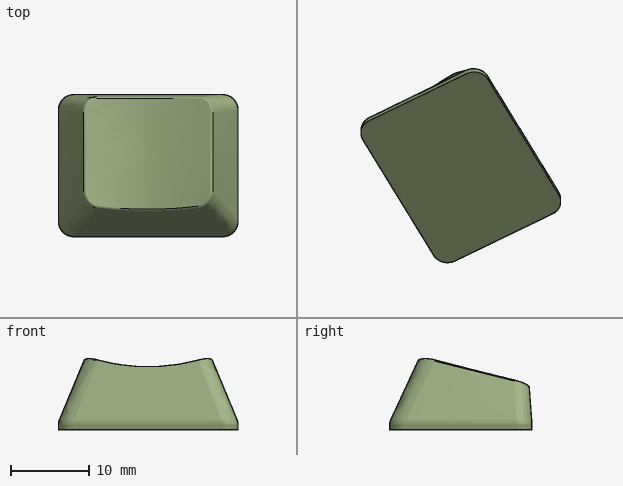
import cadquery as cq
import math

width = 22.92
depth = 18.15
blank_height = 8.7
top_tilt = 13.8

skirt_height = 0.66
bend_top = 1.33
bend_middle = (skirt_height + bend_top) / 2
side_lean_front = 21.3
side_lean_back = 33.5
front_lean = 24.9
back_lean = 4.2

corner_radius = 2.0
rim_radius = 0.28

dish_end = 10.31
dish_front_floor = 9.12
dish_back_floor = 4.54
dish_front_radius = 18.34
dish_back_radius = 33.23


def corner_on_section(end, end_lean, side_lean, height, tilt):
    """Sharp right-hand corner of a section; end is -1 at the front and 1 at the back."""
    base_y = end * depth / 2
    end_slope = math.tan(math.radians(end_lean))
    plane_slope = math.tan(math.radians(tilt))
    if height < bend_top:
        bend_part = max(height - skirt_height, 0)
        rise = bend_part**2 / (2 * (bend_top - skirt_height))
    else:
        rise = (height - plane_slope * base_y - bend_middle) / (1 - end * end_slope * plane_slope)
    x = width / 2 - rise * math.tan(math.radians(side_lean))
    y = base_y - end * rise * end_slope
    return x, y / math.cos(math.radians(tilt))


def section(height, tilt=0.0):
    """Rounded outline on a plane at this height over the centre, falling towards the back."""
    front_x, front_y = corner_on_section(-1, front_lean, side_lean_front, height, tilt)
    back_x, back_y = corner_on_section(1, back_lean, side_lean_back, height, tilt)
    corners = [(-front_x, front_y), (front_x, front_y), (back_x, back_y), (-back_x, back_y)]
    return (
        cq.Sketch()
        .polygon(corners + corners[:1])
        .vertices()
        .fillet(corner_radius)
        .moved(cq.Location(cq.Vector(0, 0, height), cq.Vector(1, 0, 0), -tilt))
    )


skirt = cq.Workplane().placeSketch(section(0)).extrude(skirt_height)
bend = (
    cq.Workplane()
    .placeSketch(section(skirt_height), section(bend_middle), section(bend_top))
    .loft()
)
walls = (
    cq.Workplane()
    .placeSketch(section(bend_top), section(blank_height, top_tilt))
    .loft(ruled=True)
)
body = skirt.union(bend).union(walls)


def dish_circle(y, floor_height, radius):
    """Upright circle whose lowest point lies on the dish floor."""
    center = cq.Vector(0, y, floor_height + radius)
    return cq.Wire.makeCircle(radius, center, cq.Vector(0, 1, 0))


dish_front = dish_circle(-dish_end, dish_front_floor, dish_front_radius)
dish_back = dish_circle(dish_end, dish_back_floor, dish_back_radius)
dish = cq.Workplane(cq.Solid.makeLoft([dish_front, dish_back], True))
body = body.cut(dish)

dish_face = body.faces(cq.selectors.NearestToPointSelector((0, 0, blank_height)))
result = dish_face.edges().fillet(rim_radius)